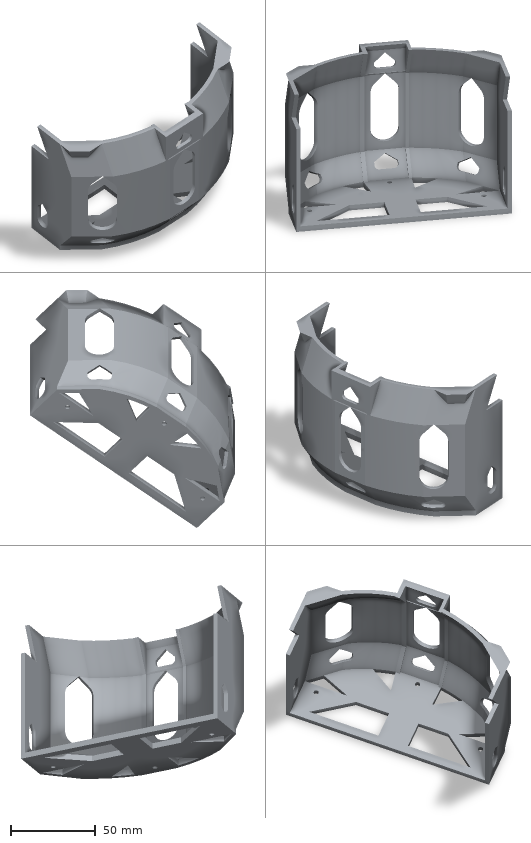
import cadquery as cq
import math

half_width = 64.8
total_height = 88.5
wall = 2.6

floor_top = 3.5
lower_bend = 18.4
upper_bend = 68.4

lean = 10.0
upper_back = 15.0

corner_x = 35.0
junction_x = 51.4
junction_y = 46.3
arc_radius = 92.0
outer_flat_x = 63.2
inner_flat_x = 60.8
arc_center_x = junction_x - math.sqrt(arc_radius**2 - junction_y**2)

panel_length = math.hypot(junction_x - corner_x, half_width - junction_y)
along_x = (junction_x - corner_x) / panel_length
along_y = (junction_y - half_width) / panel_length
normal_x = -along_y
normal_y = along_x

box_x = 62.9
box_left = 15.0
box_right = -14.4
box_inner_half = 12.3
box_start_x = 41.5
box_floor = 69.4
rim_bottom = 84.4
rim_x = 58.8
rib_x = 59.7

gusset_near = (33.3, 64.8)
gusset_far_x = 41.5
gusset_bottom = 80.2
gusset_foot_x = (31.9, 38.5)

left_window = [(5.0, 51.9), (21.8, 28.8), (21.8, 7.8), (5.0, 7.8)]
right_window = [(5.0, -51.1), (21.8, -30.1), (21.8, -11.0), (5.0, -11.0)]
screw_hole_diameter = 3.0
screw_holes = [(19.1, 53.2), (46.8, -0.3), (19.1, -51.8)]
floor_triangles = [
    [(23.9, 35.3), (34.1, 59.0), (23.9, 64.8)],
    [(37.0, 12.7), (49.0, 14.8), (54.5, 15.5), (50.6, 34.4)],
    [(37.0, -13.6), (54.5, -14.1), (50.6, -36.5)],
    [(23.9, -35.7), (34.1, -59.4), (23.9, -64.8)],
]

tall_slot_radius = 8.5
tall_slot_bottom = 32.3
tall_slot_top = 56.7
side_slot_radius = 4.3
side_slot_x = 9.7
side_slot_bottom = 12.3
side_slot_top = 20.9
panel_slot_center = (45.4, 49.3)
slope_hole_tip_z = 16.6
slope_hole_width = 14.4
slope_hole_height = 9.5
slope_hole_shoulder = 4.9
box_hole_tip_z = 82.6
box_hole_width = 12.8
box_hole_height = 10.6
box_hole_shoulder = 6.2
hole_corner_radius = 2.6
cut_reach = 6.5


def wall_outline(inset, flat_x, back_x):
    """Closed plan of the wall, moved inward by inset, with its middle cut flat at flat_x."""
    side = half_width - inset
    radius = arc_radius - inset
    start_x = corner_x - inset * normal_x
    start_y = half_width - inset * normal_y
    corner_step = (side - start_y) / along_y
    corner = (start_x + corner_step * along_x, side)
    half_b = (start_x - arc_center_x) * along_x + start_y * along_y
    offset_c = (start_x - arc_center_x) ** 2 + start_y**2 - radius**2
    step = -half_b + math.sqrt(half_b**2 - offset_c)
    far_x, far_y = start_x + step * along_x, start_y + step * along_y
    flat_y = math.sqrt(radius**2 - (flat_x - arc_center_x) ** 2)
    mid_angle = (math.asin(far_y / radius) + math.asin(flat_y / radius)) / 2
    mid_x = arc_center_x + radius * math.cos(mid_angle)
    mid_y = radius * math.sin(mid_angle)
    return (
        cq.Workplane("XY")
        .moveTo(back_x, side)
        .lineTo(*corner)
        .lineTo(far_x, far_y)
        .threePointArc((mid_x, mid_y), (flat_x, flat_y))
        .lineTo(flat_x, -flat_y)
        .threePointArc((mid_x, -mid_y), (far_x, -far_y))
        .lineTo(corner[0], -corner[1])
        .lineTo(back_x, -side)
        .close()
        .wire()
        .val()
    )


def rectangle_outline(x_min, x_max, y_min, y_max):
    corners = [(x_min, y_min), (x_max, y_min), (x_max, y_max), (x_min, y_max)]
    return cq.Workplane("XY").polyline(corners).close().wire().val()


def leaning_prism(outline, x_low, z_low, x_high, z_high):
    """Extrude a plan outline from one height to another while it slides along X."""
    base = outline.translate(cq.Vector(x_low, 0, z_low))
    path = cq.Vector(x_high - x_low, 0, z_high - z_low)
    return cq.Workplane(obj=cq.Solid.extrudeLinear(base, [], path))


def leaning_stack(outline, upper_outline=None):
    """Lower leaning, upright and upper leaning parts of a wall outline, above the floor."""
    upper_outline = upper_outline or outline
    return (
        leaning_prism(outline, -lean, floor_top, 0, lower_bend)
        .union(leaning_prism(outline, 0, lower_bend, 0, upper_bend))
        .union(leaning_prism(upper_outline, 0, upper_bend, -lean, total_height))
    )


def block(x_min, x_max, y_min, y_max, z_min, z_max):
    size = (x_max - x_min, y_max - y_min, z_max - z_min)
    return cq.Workplane("XY").box(*size, centered=False).translate((x_min, y_min, z_min))


def gusset():
    """Downward tapering wedge that fills the lean of the +Y panel under the top edge."""

    def on_panel(x, z):
        shift = lean * (z - upper_bend) / (total_height - upper_bend)
        return cq.Vector(x, half_width + (x + shift - corner_x) * along_y / along_x, z)

    a = on_panel(corner_x - lean, total_height)
    b = cq.Vector(*gusset_near, total_height)
    d = on_panel(gusset_far_x, total_height)
    e = on_panel(gusset_foot_x[0], gusset_bottom)
    f = on_panel(gusset_foot_x[1], gusset_bottom)
    edge_slope = (f.y - e.y) / (f.x - e.x)
    c = cq.Vector(gusset_far_x, b.y + (gusset_far_x - b.x) * edge_slope, total_height)
    loops = [(a, b, c, d), (a, b, e), (b, c, f, e), (c, d, f), (a, e, f, d)]
    faces = [cq.Face.makeFromWires(cq.Wire.makePolygon(list(p), close=True)) for p in loops]
    return cq.Workplane(obj=cq.Solid.makeSolid(cq.Shell.makeShell(faces)))


def pointed_slot(plane, radius, bottom, top):
    """Cutter for an upright slot with a round lower end and a 45 degree pointed upper end."""
    diagonal = radius * math.sqrt(0.5)
    mid_x = radius * math.cos(math.pi / 8)
    mid_y = top + radius * math.sin(math.pi / 8)
    return (
        cq.Workplane(plane)
        .moveTo(-radius, bottom)
        .threePointArc((0, bottom - radius), (radius, bottom))
        .lineTo(radius, top)
        .threePointArc((mid_x, mid_y), (diagonal, top + diagonal))
        .lineTo(0, top + 2 * diagonal)
        .lineTo(-diagonal, top + diagonal)
        .threePointArc((-mid_x, mid_y), (-radius, top))
        .close()
        .extrude(cut_reach, both=True)
    )


def house_hole(plane, width, height, shoulder):
    """Cutter for a low hole with a pointed roof and round lower corners; the tip is the origin."""
    half = width / 2
    radius = hole_corner_radius
    inset = radius * (1 - math.sqrt(0.5))
    return (
        cq.Workplane(plane)
        .moveTo(0, 0)
        .lineTo(half, -shoulder)
        .lineTo(half, radius - height)
        .threePointArc((half - inset, inset - height), (half - radius, -height))
        .lineTo(radius - half, -height)
        .threePointArc((inset - half, inset - height), (-half, radius - height))
        .lineTo(-half, -shoulder)
        .close()
        .extrude(cut_reach, both=True)
    )


def slope_hole(panel_x, panel_y, out_x, out_y):
    """Cutter square to the lower leaning wall, for a panel facing along (out_x, out_y)."""
    rise = lower_bend - floor_top
    normal = cq.Vector(out_x * rise, out_y * rise, -out_x * lean)
    shift = lean * (lower_bend - slope_hole_tip_z) / rise
    tip = cq.Vector(panel_x - shift * out_x**2, panel_y - shift * out_x * out_y, slope_hole_tip_z)
    plane = cq.Plane(origin=tip, xDir=cq.Vector(-out_y, out_x, 0), normal=normal)
    return house_hole(plane, slope_hole_width, slope_hole_height, slope_hole_shoulder)


def tall_slot(panel_x, panel_y, out_x, out_y):
    """Cutter square to the upright wall, for a panel facing along (out_x, out_y)."""
    plane = cq.Plane(
        origin=(panel_x, panel_y, 0), xDir=(-out_y, out_x, 0), normal=(out_x, out_y, 0)
    )
    return pointed_slot(plane, tall_slot_radius, tall_slot_bottom, tall_slot_top)


outer = wall_outline(0, outer_flat_x, 0)
outer_upper = wall_outline(0, outer_flat_x, upper_back)
body = leaning_stack(outer, outer_upper)
body = body.intersect(block(0, half_width, -half_width, half_width, 0, total_height))
body = body.union(leaning_prism(wall_outline(0, outer_flat_x, lean), -lean, 0, -lean, floor_top))
body = body.union(block(box_start_x, box_x, box_right, box_left, upper_bend, total_height))
body = body.union(gusset()).union(gusset().mirror("XZ"))

cavity_outline = wall_outline(wall, inner_flat_x, -half_width)
cavity = leaning_stack(cavity_outline)
pocket_outline = rectangle_outline(rib_x - wall, inner_flat_x, -box_inner_half, box_inner_half)
pocket = leaning_stack(pocket_outline)
body = body.cut(cavity).cut(pocket)

for rib_start, rib_end in [(box_inner_half, box_left), (box_right, -box_inner_half)]:
    rib_outline = rectangle_outline(rib_x, inner_flat_x, rib_start, rib_end)
    body = body.union(leaning_stack(rib_outline))

box_hollow = (
    cq.Workplane("XZ")
    .polyline(
        [
            (box_start_x, box_floor),
            (inner_flat_x, box_floor),
            (inner_flat_x, rim_bottom),
            (rim_x, total_height),
            (box_start_x, total_height),
        ]
    )
    .close()
    .extrude(box_inner_half, both=True)
)
body = body.cut(box_hollow)

for window in [left_window, right_window]:
    body = body.cut(cq.Workplane("XY").polyline(window).close().extrude(floor_top))
body = body.cut(
    cq.Workplane("XY").pushPoints(screw_holes).circle(screw_hole_diameter / 2).extrude(floor_top)
)
floor_inside = leaning_prism(cavity_outline, -lean, 0, -lean, floor_top)
for triangle in floor_triangles:
    opening = cq.Workplane("XY").polyline(triangle).close().extrude(floor_top)
    body = body.cut(opening.intersect(floor_inside))

panel_x, panel_y = panel_slot_center
panels = [
    (inner_flat_x, 0, 1, 0),
    (panel_x, panel_y, normal_x, normal_y),
    (panel_x, -panel_y, normal_x, -normal_y),
]
for panel in panels:
    body = body.cut(tall_slot(*panel)).cut(slope_hole(*panel))

box_hole_plane = cq.Plane(origin=(box_x, 0, box_hole_tip_z), xDir=(0, 1, 0), normal=(1, 0, 0))
body = body.cut(house_hole(box_hole_plane, box_hole_width, box_hole_height, box_hole_shoulder))

for side_y in (-half_width, half_width):
    side_plane = cq.Plane(origin=(side_slot_x, side_y, 0), xDir=(1, 0, 0), normal=(0, -1, 0))
    body = body.cut(pointed_slot(side_plane, side_slot_radius, side_slot_bottom, side_slot_top))

result = body